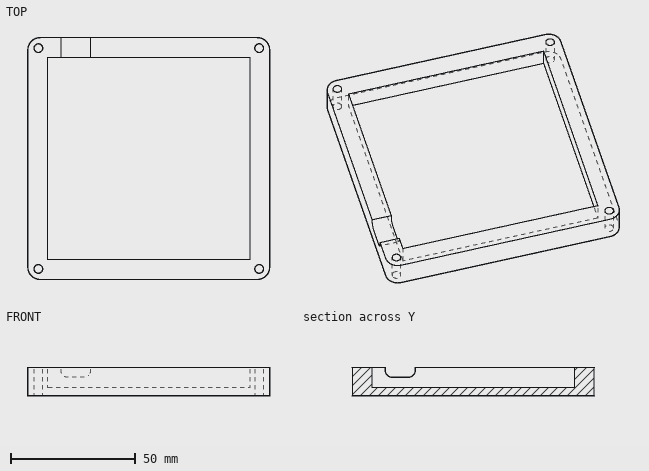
import cadquery as cq

side = 97.0
height = 11.4
corner_radius = 5.0

wall = 8.0
floor_thickness = 3.4
pocket_depth = height - floor_thickness
pocket_side = side - 2 * wall

hole_diameter = 3.4
hole_inset = 4.3
hole_spacing = side - 2 * hole_inset

notch_width = 11.9
notch_depth = 4.0
notch_bottom_radius = 2.7
notch_start = 13.3
notch_center_x = -side / 2 + notch_start + notch_width / 2
notch_center_y = side / 2 - wall / 2


def make_body():
    """Square plate with rounded vertical corners, resting on Z = 0."""
    plate = cq.Workplane("XY").box(side, side, height, centered=(True, True, False))
    return plate.edges("|Z").fillet(corner_radius)


def make_pocket():
    """Square block that hollows the tray from its top face."""
    return (
        cq.Workplane("XY", origin=(0, 0, height - pocket_depth))
        .rect(pocket_side, pocket_side)
        .extrude(pocket_depth)
    )


def make_screw_holes():
    """Four pins that pierce the corners over the full height."""
    return (
        cq.Workplane("XY")
        .rect(hole_spacing, hole_spacing, forConstruction=True)
        .vertices()
        .circle(hole_diameter / 2)
        .extrude(height)
    )


def make_notch():
    """Block as long as the wall is thick, rounded along its two bottom edges."""
    block = cq.Workplane("XY", origin=(notch_center_x, notch_center_y, height - notch_depth)).box(
        notch_width, wall, notch_depth, centered=(True, True, False)
    )
    return block.edges("|Y and <Z").fillet(notch_bottom_radius)


result = make_body().cut(make_pocket()).cut(make_screw_holes()).cut(make_notch())